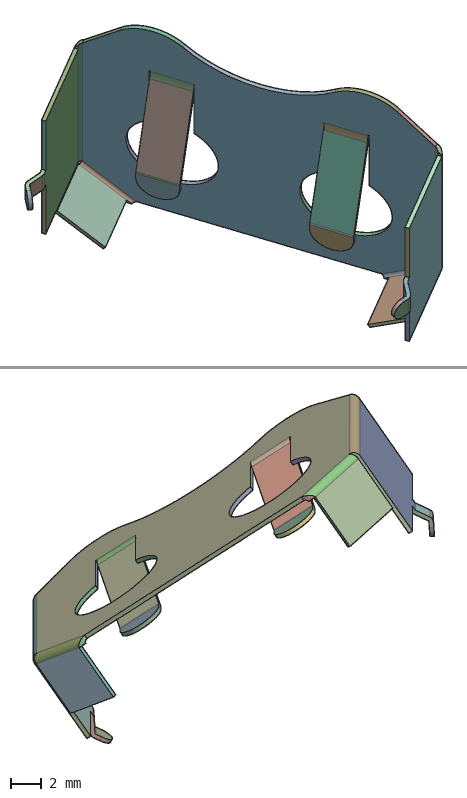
import cadquery as cq
import math


sheet = 0.3
bend_inner = 0.2
bend_outer = bend_inner + sheet

flange_face_x = 12.71
side_line_x = flange_face_x - bend_outer
bottom_half_width = 8.45
lower_corner_z = 2.75
plate_height = 19.28
peak_radius = 3.2
valley_radius = 8.0
valley_depth = 2.75
shoulder_angle = 45

flange_depth = 6.65
flange_top_setback = 0.53

tab_depth = 4.55
tab_bottom_setback = 0.59
tab_top_extension = 0.08

finger_x = 6.0
finger_width = 3.03
finger_clearance = 0.08
finger_angle = 20.5
finger_slope_height = 6.92
finger_root_radius = 1.8
finger_tip_bend_radius = 0.15
opening_z = 6.57
opening_radius = 3.2
slot_top_z = 14.8

tail_width = 1.6
tail_neck_length = 0.27
tail_angle = 30
tail_bend_radius = 0.1
tail_reach_x = 13.3
tail_end_depth = 9.3


def sine(degrees):
    return math.sin(math.radians(degrees))


def cosine(degrees):
    return math.cos(math.radians(degrees))


arc_sum = peak_radius + valley_radius
peak_x = math.sqrt(arc_sum**2 - (arc_sum - valley_depth) ** 2)
peak_z = plate_height - peak_radius
valley_z = plate_height - valley_depth
blend_share = valley_radius / arc_sum
blend_x = peak_x * blend_share
blend_z = valley_z + valley_radius - (arc_sum - valley_depth) * blend_share
shoulder_x = peak_x + peak_radius * sine(shoulder_angle)
shoulder_z = peak_z + peak_radius * cosine(shoulder_angle)
upper_corner_z = shoulder_z - (side_line_x - shoulder_x) * math.tan(math.radians(shoulder_angle))


def make_plate():
    return (
        cq.Workplane("XZ")
        .moveTo(-bottom_half_width, 0)
        .lineTo(bottom_half_width, 0)
        .lineTo(side_line_x, lower_corner_z)
        .lineTo(side_line_x, upper_corner_z)
        .lineTo(shoulder_x, shoulder_z)
        .threePointArc((peak_x, plate_height), (blend_x, blend_z))
        .threePointArc((0, valley_z), (-blend_x, blend_z))
        .threePointArc((-peak_x, plate_height), (-shoulder_x, shoulder_z))
        .lineTo(-side_line_x, upper_corner_z)
        .lineTo(-side_line_x, lower_corner_z)
        .close()
        .extrude(sheet)
    )


def make_opening():
    """Round hole with the slot above it that frees the finger."""
    hole = cq.Workplane("XZ").center(finger_x, opening_z).circle(opening_radius).extrude(sheet)
    slot = cq.Workplane("XY").box(
        finger_width + finger_clearance, sheet, slot_top_z - opening_z, centered=False
    )
    return hole.union(slot.translate((finger_x - finger_width / 2, -sheet, opening_z)))


def make_flap(start, end, depth, start_setback, end_setback):
    """Flap folded along the plate edge from start to end, each an (x, z) point.

    Seen from -Y and going from start to end, the plate lies on the left of the edge.
    The setbacks shorten the flat beyond the bend; the ends of the bend curve down to the flat.
    """
    length = math.dist(start, end)
    flat_start = start_setback
    flat_end = length - end_setback
    along = ((end[0] - start[0]) / length, 0, (end[1] - start[1]) / length)
    edge = cq.Plane(origin=(start[0], 0, start[1]), xDir=along, normal=(0, 1, 0))

    bend_start = min(0, flat_start)
    ring = (
        cq.Workplane("YZ", origin=(bend_start, 0, 0))
        .moveTo(0, 0)
        .threePointArc(
            (bend_outer * sine(45), bend_outer * (cosine(45) - 1)), (bend_outer, -bend_outer)
        )
        .lineTo(bend_inner, -bend_outer)
        .threePointArc(
            (bend_inner * sine(45), bend_inner * cosine(45) - bend_outer), (0, -sheet)
        )
        .close()
        .extrude(max(length, flat_end) - bend_start)
    )
    halfway = bend_outer * sine(45)
    trim = (
        cq.Workplane("XY")
        .lineTo(length, 0)
        .spline([(length - end_setback / 2, halfway), (flat_end, bend_outer)], includeCurrent=True)
        .lineTo(flat_start, bend_outer)
        .spline([(start_setback / 2, halfway), (0, 0)], includeCurrent=True)
        .close()
        .extrude(-bend_outer)
    )
    flat = cq.Workplane("XY").box(
        flat_end - flat_start, sheet, depth - bend_outer, centered=False
    )
    flat = flat.translate((flat_start, bend_inner, -depth))
    flap = ring.intersect(trim).union(flat)
    return cq.Workplane(flap.val().moved(cq.Location(edge)))


def make_strip(plane, legs, width):
    """Bent strip with a round tip, following legs of (straight length, turn, inner radius).

    The path is the middle of the sheet. It sets out along the plane's x axis, and a positive
    turn bends it towards the plane's y axis. The tip is centred on the end of the path.
    """
    place = cq.Location(plane)
    strip = cq.Workplane("XY")
    for length, turn, inner_radius in legs:
        if length > 0:
            straight = cq.Workplane("XY").box(length, sheet, width, (False, True, True))
            strip = strip.add(straight.val().moved(place))
            place = place * cq.Location(cq.Vector(length, 0, 0))
        if turn != 0:
            side = math.copysign(1, turn)
            centre_y = side * (inner_radius + sheet / 2)
            bend = (
                cq.Workplane("YZ")
                .rect(sheet, width)
                .revolve(abs(turn), (centre_y, 0), (centre_y, side))
            )
            strip = strip.add(bend.val().moved(place))
            to_centre = cq.Location(cq.Vector(0, centre_y, 0))
            rotation = cq.Location(cq.Vector(0, 0, 0), cq.Vector(0, 0, 1), turn)
            place = place * to_centre * rotation * to_centre.inverse
    tip = (
        cq.Workplane("XZ")
        .moveTo(0, -width / 2)
        .threePointArc((width / 2, 0), (0, width / 2))
        .close()
        .extrude(sheet / 2, both=True)
    )
    return strip.add(tip.val().moved(place)).combine()


def make_finger():
    """Spring finger: curves out of the plate, slopes down, then ends in an upright tip."""
    root = cq.Plane(origin=(finger_x, -sheet / 2, slot_top_z), xDir=(0, 0, -1), normal=(1, 0, 0))
    bends_height = (finger_root_radius + finger_tip_bend_radius + sheet) * sine(finger_angle)
    tip_length = slot_top_z - opening_z - bends_height - finger_slope_height
    slope_length = finger_slope_height / cosine(finger_angle)
    legs = [
        (0, -finger_angle, finger_root_radius),
        (slope_length, finger_angle, finger_tip_bend_radius),
        (tip_length, 0, 0),
    ]
    return make_strip(root, legs, finger_width)


def make_tail():
    """Hooked tail: leans outwards from the flange, then folds back inwards to its tip."""
    middle_x = flange_face_x - sheet / 2
    middle_z = (lower_corner_z + upper_corner_z - flange_top_setback) / 2
    root = cq.Plane(origin=(middle_x, -flange_depth, middle_z), xDir=(0, -1, 0), normal=(0, 0, 1))
    path_radius = tail_bend_radius + sheet / 2
    bends_rise = 2 * path_radius * (1 - cosine(tail_angle))
    rise = tail_reach_x - flange_face_x
    lean_length = (rise - bends_rise) / sine(tail_angle)
    fold_depth = (
        flange_depth
        + tail_neck_length
        + 3 * path_radius * sine(tail_angle)
        + lean_length * cosine(tail_angle)
    )
    tip_drop = tail_end_depth - fold_depth - sheet / 2 * sine(tail_angle)
    return_length = tip_drop / cosine(tail_angle) - tail_width / 2
    legs = [
        (tail_neck_length, tail_angle, tail_bend_radius),
        (lean_length, -2 * tail_angle, tail_bend_radius),
        (return_length, 0, 0),
    ]
    return make_strip(root, legs, tail_width)


lower_corner = (side_line_x, lower_corner_z)
upper_corner = (side_line_x, upper_corner_z)
bottom_corner = (bottom_half_width, 0)

side_flange = make_flap(lower_corner, upper_corner, flange_depth, 0, flange_top_setback)
corner_tab = make_flap(
    bottom_corner, lower_corner, tab_depth, tab_bottom_setback, -tab_top_extension
)
opening = make_opening()

result = make_plate().cut(opening).cut(opening.mirror("YZ"))
for feature in (side_flange, corner_tab, make_finger(), make_tail()):
    result = result.union(feature).union(feature.mirror("YZ"))